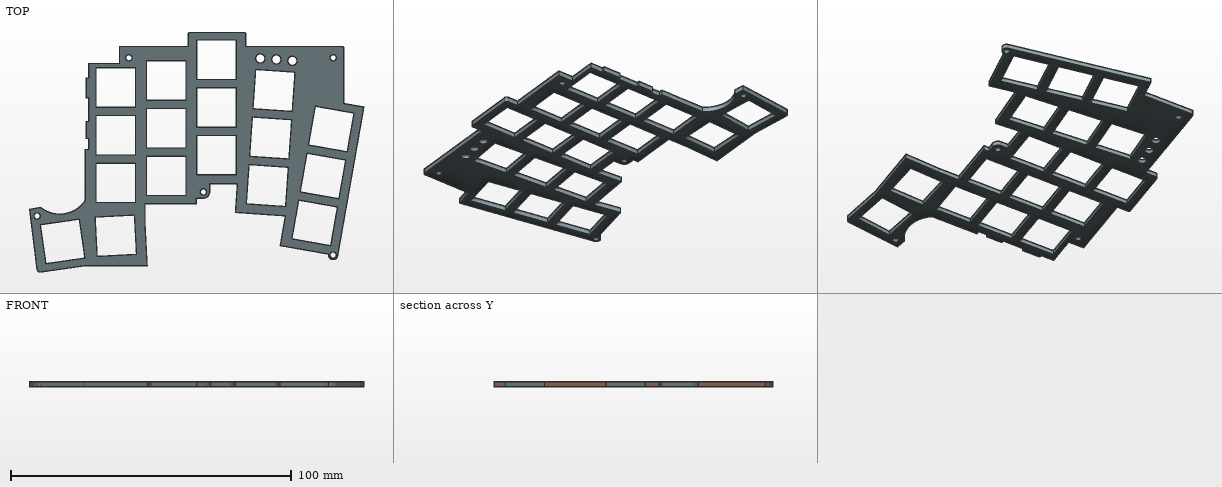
import cadquery as cq
import math

length = 119.3
thickness = 1.9

cutout_side = 14.0
column_span = 34.0
keys_per_column = 3
key_pitch = column_span / (keys_per_column - 1)

screw_hole_diameter = 2.1
led_hole_diameter = 3.2

deck_top = 80.5
crown_top = 85.5
crown_left, crown_right = 56.5, 77.2
deck_right = 112.1
left_shoulder_top = 74.4
left_shoulder_right = 32.1
left_wall = 19.8
notch_wall = 21.1
notch_tab_wall = 20.2
notch_bottom = 43.8
notch_tabs = [(62.1, 69.3), (47.6, 53.8)]
web_bottom = 24.3
web_right = 59.5
middle_bottom = 31.5
thumb_bottom = 2.3
corner_radius = 0.7

inner_column_tilt = -4.0
outer_column_tilt = -10.0
thumb_tilt = 3.0
thumb_tip_tilt = 8.2


def offset(origin, tilt, dx, dy):
    """Point at (dx, dy) from origin, in axes turned by tilt degrees."""
    a = math.radians(tilt)
    return (
        origin[0] + dx * math.cos(a) - dy * math.sin(a),
        origin[1] + dx * math.sin(a) + dy * math.cos(a),
    )


inner_column_key = (84.8, 30.9)
inner_column_left = 10.7
inner_column_below = 10.4
inner_column_top = offset(inner_column_key, inner_column_tilt, 0, column_span)

outer_corner = (length, 58.9)
outer_key_inset = 10.1
outer_key_drop = 9.8
outer_column_width = 20.9
outer_column_length = 53.9
outer_column_top = offset(outer_corner, outer_column_tilt, -outer_key_inset, -outer_key_drop)
outer_lug_radius = 1.7
outer_lug = offset(outer_corner, outer_column_tilt, -outer_lug_radius, -outer_column_length)

columns = [
    ((30.8, 65.8), 0.0),
    ((48.8, 68.3), 0.0),
    ((66.7, 75.7), 0.0),
    (inner_column_top, inner_column_tilt),
    (outer_column_top, outer_column_tilt),
]
thumb_keys = [
    ((30.8, 13.0), thumb_tilt),
    ((11.8, 11.0), thumb_tip_tilt),
]

tab_hole = (62.0, 28.6)
tab_radius = 2.3
tab_right = tab_hole[0] + tab_radius
tab_bottom = tab_hole[1] - tab_radius

screw_holes = [(35.4, 76.5), (108.3, 76.5), tab_hole, outer_lug, (2.7, 20.0)]
led_holes = [(82.3, 76.2), (88.0, 75.9), (93.8, 75.4)]

thumb_tip_radius = 1.2
thumb_tip_centre = (3.8, thumb_tip_radius)
thumb_right_bend = (41.3, 16.2)
thumb_top_left = (0.0, 22.4)
scoop_start = (3.9, 23.1)
scoop_low = (10.1, 20.8)
scoop_end = (left_wall, 25.5)


def draw_outline():
    outline = cq.Workplane("XY").moveTo(left_shoulder_right, left_shoulder_top)
    outline = outline.lineTo(left_shoulder_right, deck_top)
    outline = outline.lineTo(crown_left, deck_top).lineTo(crown_left, crown_top)
    outline = outline.lineTo(crown_right, crown_top).lineTo(crown_right, deck_top)
    outline = outline.lineTo(deck_right, deck_top)
    deck_to_corner = (length - deck_right) * math.tan(math.radians(-outer_column_tilt))
    outline = outline.lineTo(deck_right, outer_corner[1] + deck_to_corner)
    outline = outline.lineTo(*outer_corner)
    outline = outline.lineTo(*offset(outer_corner, outer_column_tilt, 0, -outer_column_length))
    foot = offset(outer_corner, outer_column_tilt, -outer_column_width, -outer_column_length)
    outline = outline.lineTo(*foot)

    bottom_left = offset(
        inner_column_key, inner_column_tilt, -inner_column_left, -inner_column_below
    )
    side_lean = math.tan(math.radians(-outer_column_tilt))
    edge_slope = math.tan(math.radians(inner_column_tilt))
    foot_gap = bottom_left[1] - foot[1] + edge_slope * (foot[0] - bottom_left[0])
    junction_y = foot[1] + foot_gap / (1 - edge_slope * side_lean)
    outline = outline.lineTo(foot[0] + (junction_y - foot[1]) * side_lean, junction_y)
    outline = outline.lineTo(*bottom_left)
    rise = middle_bottom - bottom_left[1]
    side_run = rise * math.tan(math.radians(-inner_column_tilt))
    outline = outline.lineTo(bottom_left[0] + side_run, middle_bottom)

    outline = outline.lineTo(tab_right, middle_bottom).lineTo(tab_right, tab_hole[1])
    outline = outline.radiusArc((tab_hole[0], tab_bottom), tab_radius)
    outline = outline.lineTo(web_right, tab_bottom).lineTo(web_right, web_bottom)
    outline = outline.lineTo(thumb_right_bend[0], web_bottom)

    outline = outline.lineTo(*thumb_right_bend)
    thumb_drop = thumb_right_bend[1] - thumb_bottom
    thumb_run = thumb_drop * math.tan(math.radians(thumb_tilt))
    outline = outline.lineTo(thumb_right_bend[0] + thumb_run, thumb_bottom)
    tip_below = offset(thumb_tip_centre, thumb_tip_tilt, 0, -thumb_tip_radius)
    tip_left = offset(thumb_tip_centre, thumb_tip_tilt, -thumb_tip_radius, 0)
    tip_run = (thumb_bottom - tip_below[1]) / math.tan(math.radians(thumb_tip_tilt))
    outline = outline.lineTo(tip_below[0] + tip_run, thumb_bottom)
    outline = outline.lineTo(*tip_below).radiusArc(tip_left, thumb_tip_radius)
    outline = outline.lineTo(*thumb_top_left).lineTo(*scoop_start)
    outline = outline.threePointArc(scoop_low, scoop_end)

    outline = outline.lineTo(left_wall, notch_bottom).lineTo(notch_wall, notch_bottom)
    for low, high in reversed(notch_tabs):
        outline = outline.lineTo(notch_wall, low).lineTo(notch_tab_wall, low)
        outline = outline.lineTo(notch_tab_wall, high).lineTo(notch_wall, high)
    return outline.lineTo(notch_wall, left_shoulder_top).close()


def round_corners(plate):
    for x, y in [(crown_left, crown_top), (crown_right, crown_top), (deck_right, deck_top)]:
        nearest = cq.NearestToPointSelector((x, y, thickness / 2))
        plate = plate.edges("|Z").edges(nearest).fillet(corner_radius)
    return plate


def cut_switch(plate, centre, tilt):
    cutter = cq.Workplane("XY").rect(cutout_side, cutout_side).extrude(thickness)
    cutter = cutter.rotate((0, 0, 0), (0, 0, 1), tilt)
    return plate.cut(cutter.translate((centre[0], centre[1], 0)))


def cut_holes(plate, places, diameter):
    return plate.cut(cq.Workplane("XY").pushPoints(places).circle(diameter / 2).extrude(thickness))


plate = round_corners(draw_outline().extrude(thickness))
lug = cq.Workplane("XY").center(*outer_lug).circle(outer_lug_radius).extrude(thickness)
plate = plate.union(lug)

for top_key, tilt in columns:
    for row in range(keys_per_column):
        plate = cut_switch(plate, offset(top_key, tilt, 0, -row * key_pitch), tilt)
for key, tilt in thumb_keys:
    plate = cut_switch(plate, key, tilt)

plate = cut_holes(plate, screw_holes, screw_hole_diameter)
result = cut_holes(plate, led_holes, led_hole_diameter)